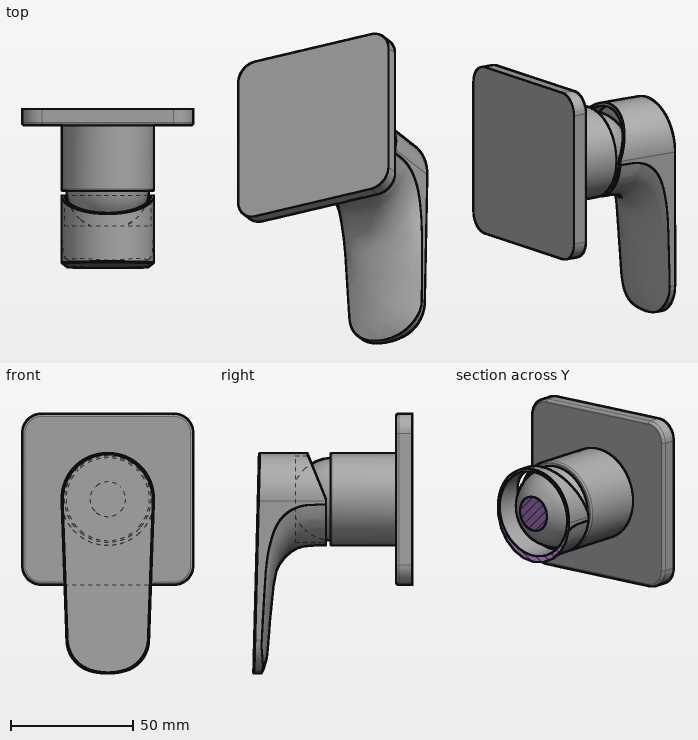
import cadquery as cq
import math


OVERALL_HEIGHT = 106.2

PLATE_SIZE = 70.0
PLATE_DEPTH = 6.7
PLATE_CORNER_RADIUS = 8.1
PLATE_EDGE_FILLET = 1.2

BODY_RADIUS = 18.9
SLEEVE_END_DEPTH = 33.5
SLEEVE_EDGE_FILLET = 0.7

DOME_RADIUS = 17.0
DOME_CENTRE_DEPTH = 32.4
DOME_END_DEPTH = 47.8

LEVER_END_Z = PLATE_SIZE / 2 - OVERALL_HEIGHT
LEVER_TAPER = math.radians(2.0)
LEVER_BOTTOM_CORNER_Z = -65.0
LEVER_CORNER_RADIUS = 13.8

RIM_DEPTH = 35.3
RIM_TOP_DEPTH = 42.9
FRONT_TOP_DEPTH = 62.7
FRONT_END_DEPTH = 65.0
FRONT_CHAMFER = 0.5
RECESS_RADIUS = 17.6

UNDERSIDE_STATIONS = [
    (RIM_DEPTH, -2.2, RIM_DEPTH, -BODY_RADIUS),
    (38.8, -2.2, 38.8, -BODY_RADIUS),
    (42.5, -2.3, 42.5, -19.1),
    (49.6, -4.6, 47.7, -20.4),
    (54.7, -9.6, 52.5, -24.2),
    (57.3, -15.3, 55.5, -29.3),
    (59.2, -23.6, 56.7, -36.1),
    (60.5, -38.2, 57.6, -44.6),
    (61.2, -51.0, 58.4, -54.2),
    (61.7, -63.7, 59.5, -65.3),
    (62.0, -71.4, 61.8, -71.5),
]
BACK_INSET = 0.05
BACK_OVERLAP = 1.3


def cylinder(radius, start_depth, end_depth):
    """Cylinder on the valve axis between two depths."""
    return (
        cq.Workplane("XZ", origin=(0, -start_depth, 0))
        .circle(radius)
        .extrude(end_depth - start_depth)
    )


def make_plate():
    plate = cq.Workplane("XZ").rect(PLATE_SIZE, PLATE_SIZE).extrude(PLATE_DEPTH)
    plate = plate.edges("|Y").fillet(PLATE_CORNER_RADIUS)
    return plate.faces("<Y").edges().fillet(PLATE_EDGE_FILLET)


def make_sleeve():
    sleeve = cylinder(BODY_RADIUS, PLATE_DEPTH, SLEEVE_END_DEPTH)
    return sleeve.faces("<Y").edges().fillet(SLEEVE_EDGE_FILLET)


def make_dome():
    ball = cq.Workplane("XY", origin=(0, -DOME_CENTRE_DEPTH, 0)).sphere(DOME_RADIUS)
    return ball.intersect(cylinder(BODY_RADIUS, SLEEVE_END_DEPTH, DOME_END_DEPTH))


def lever_half_width(z):
    """Half width at height z between the straight sides, which are tangent to the body circle."""
    return (BODY_RADIUS + z * math.sin(LEVER_TAPER)) / math.cos(LEVER_TAPER)


def lever_prism():
    """Front outline of the handle, extruded over its whole depth."""
    tangent_x = BODY_RADIUS * math.cos(LEVER_TAPER)
    tangent_z = -BODY_RADIUS * math.sin(LEVER_TAPER)
    corner_x = lever_half_width(LEVER_BOTTOM_CORNER_Z)
    prism = (
        cq.Workplane("XZ", origin=(0, -RIM_DEPTH, 0))
        .moveTo(-tangent_x, tangent_z)
        .threePointArc((0, BODY_RADIUS), (tangent_x, tangent_z))
        .lineTo(corner_x, LEVER_BOTTOM_CORNER_Z)
        .threePointArc((0, LEVER_END_Z), (-corner_x, LEVER_BOTTOM_CORNER_Z))
        .close()
        .extrude(FRONT_END_DEPTH - RIM_DEPTH)
    )
    bottom_corners = prism.edges("|Y").edges("<Z")
    return bottom_corners.fillet(LEVER_CORNER_RADIUS)


def lever_side_profile():
    """Side outline of the handle up to its side edges, without the round back."""
    edge_points = [(-depth, z) for depth, z, _, _ in UNDERSIDE_STATIONS]
    return (
        cq.Workplane("YZ")
        .moveTo(-FRONT_TOP_DEPTH, BODY_RADIUS)
        .lineTo(-RIM_TOP_DEPTH, BODY_RADIUS)
        .lineTo(-RIM_DEPTH, 0)
        .lineTo(*edge_points[0])
        .spline(edge_points[1:], includeCurrent=True)
        .lineTo(-FRONT_END_DEPTH, edge_points[-1][1])
        .close()
        .extrude(BODY_RADIUS, both=True)
    )


def back_section(edge_depth, edge_z, back_depth, back_z):
    """Closed section of the round back: an arc between the side edges and a flat inner side."""
    half_width = lever_half_width(edge_z) - BACK_INSET
    edge = cq.Vector(0, -edge_depth, edge_z)
    back = cq.Vector(0, -back_depth, back_z)
    inner = edge + (edge - back).normalized() * BACK_OVERLAP
    side = cq.Vector(half_width, 0, 0)
    return cq.Wire.assembleEdges([
        cq.Edge.makeThreePointArc(edge - side, back, edge + side),
        cq.Edge.makeLine(edge + side, inner + side),
        cq.Edge.makeLine(inner + side, inner - side),
        cq.Edge.makeLine(inner - side, edge - side),
    ])


def make_handle():
    prism = lever_prism()
    lever = prism.intersect(lever_side_profile())
    lever = lever.faces("<Y").edges().chamfer(FRONT_CHAMFER)
    sections = [back_section(*station) for station in UNDERSIDE_STATIONS]
    round_back = cq.Workplane(cq.Solid.makeLoft(sections)).intersect(prism)
    recess = cylinder(RECESS_RADIUS, RIM_DEPTH, DOME_END_DEPTH)
    return lever.union(round_back).cut(recess)


plate = make_plate()
sleeve = make_sleeve()
dome = make_dome()
handle = make_handle()

result = cq.Compound.makeCompound([plate.val(), sleeve.val(), dome.val(), handle.val()])